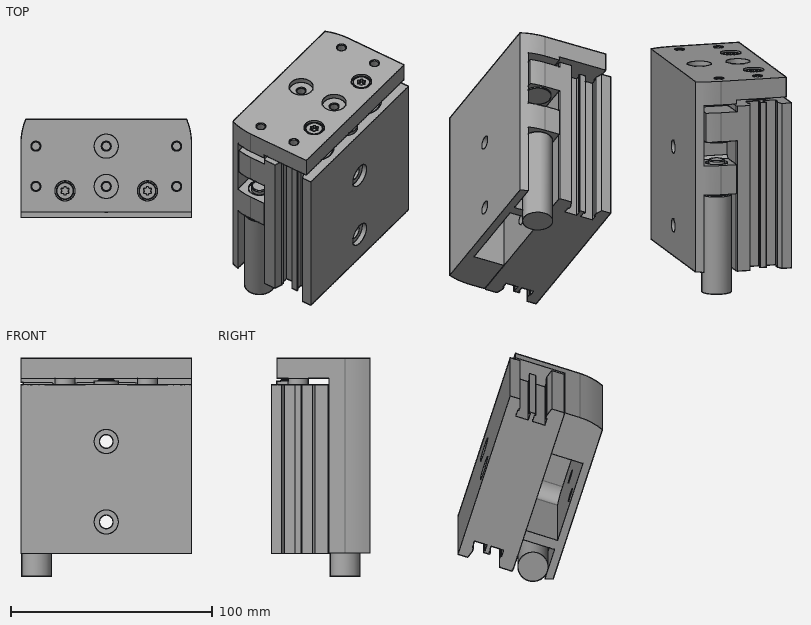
import cadquery as cq
import math


width = 85.0
half_width = width / 2
depth = 49.0
housing_height = 84.0
housing_depth = 28.5

corner_start_y = 36.5
corner_inset = 2.5
corner_run = depth - corner_start_y
corner_radius = (corner_run**2 + corner_inset**2) / (2 * corner_inset)

back_edge_chamfer_x = 0.4
back_edge_chamfer_y = 0.9
recess_front_y = 5.1
recess_back_y = 21.7
recess_taper = 1.3
recess_depth = 3.7
rib_front_y = 11.7
rib_back_y = 15.1
rib_inset = 4.8
rib_chamfer = 0.4
slot_lip_depth = 5.7
slot_floor_depth = 9.0
slot_undercut = 0.6
mount_hole_heights = (15.8, 55.8)
mount_hole_diameter = 6.65
sleeve_bore_diameter = 12.0
sleeve_bore_depth = 2.6
lug_bottom_z = 66.4
lug_top_z = 81.2
lug_back_y = 44.1
lug_inner_x = -27.0
pad_diameter = 13.5
pad_height = 0.8

plate_thickness = 10.0
plate_gap = 3.2
plate_bottom_z = housing_height + plate_gap
plate_top_z = plate_bottom_z + plate_thickness
plate_front_y = 2.7
slide_bottom_z = 0.3
back_wall_inner_y = 45.0
pocket_top_z = 85.2
side_pocket_x = -25.5
pocket_corner_chamfer = 1.6
center_pocket_half_width = 20.6
center_pocket_radius = 8.0
stop_lug_bottom_z = 39.5
stop_lug_top_z = 54.3
plate_hole_rows_y = (15.5, 35.5)
plate_hole_spacing = 35.0
thread_core_diameter = 4.13
thread_mouth_diameter = 5.0
thread_depth = 8.0

rod_x = 20.5
rod_y = 13.3
rod_diameter = 10.0
rod_hole_diameter = 10.1
rod_recess_diameter = 20.0
rod_recess_depth = 1.0
rod_recess_chamfer = 0.8
rod_bottom_z = 70.0
rod_top_z = plate_top_z - 0.6
rod_tip_diameter = 8.57
rod_tip_height = 0.6
rod_tip_chamfer = 0.25
star_core_diameter = 3.3
star_lobe_count = 6
star_lobe_diameter = 1.0
star_tip_diameter = 4.4
star_depth = 2.0

absorber_x = -34.6
absorber_y = 36.6
absorber_bottom_z = -11.3
absorber_body_diameter = 15.0
absorber_body_top_z = 38.7
absorber_body_chamfer = 0.5
absorber_thread_diameter = 10.92
absorber_thread_sink = 1.0
absorber_tip_diameter = 8.0
absorber_tip_height = 1.6
absorber_tip_chamfer = 0.5

stop_y = 8.6
stop_flange_diameter = 12.0
stop_flange_height = 1.75
stop_button_diameter = 8.0
stop_button_height = 0.8
stop_button_chamfer = 0.35
stop_shank_diameter = 5.6
stop_shank_length = 10.0


def box(x_range, y_range, z_range):
    (x0, x1), (y0, y1), (z0, z1) = x_range, y_range, z_range
    return cq.Workplane("XY").box(x1 - x0, y1 - y0, z1 - z0, centered=False).translate((x0, y0, z0))


def upright_cylinder(diameter, x, y, bottom_z, top_z):
    return cq.Workplane("XY", origin=(x, y, bottom_z)).circle(diameter / 2).extrude(top_z - bottom_z)


def corner_x(y):
    """Half width of the rounded outline at a given Y behind the start of the corner arc."""
    return half_width - corner_radius + math.sqrt(corner_radius**2 - (y - corner_start_y) ** 2)


def rounded_block(front_y, back_y, bottom_z, top_z):
    """Full-width block whose two back corners follow the shared arcs."""
    middle_y = (corner_start_y + back_y) / 2
    return (
        cq.Workplane("XY", origin=(0, 0, bottom_z))
        .moveTo(-half_width, front_y)
        .lineTo(half_width, front_y)
        .lineTo(half_width, corner_start_y)
        .threePointArc((corner_x(middle_y), middle_y), (corner_x(back_y), back_y))
        .lineTo(-corner_x(back_y), back_y)
        .threePointArc((-corner_x(middle_y), middle_y), (-half_width, corner_start_y))
        .close()
        .extrude(top_z - bottom_z)
    )


def front_bores(diameter, from_y, length):
    """Bores along +Y on the mounting-hole axes."""
    points = [(0, z) for z in mount_hole_heights]
    return (
        cq.Workplane("XZ", origin=(0, from_y, 0))
        .pushPoints(points)
        .circle(diameter / 2)
        .extrude(-length)
    )


def sensor_recess():
    """Tapered recess on the -X side, with an undercut sensor slot on each side of a central rib."""
    side_x = -half_width
    mouth_x = side_x + recess_depth
    rib_x = side_x + rib_inset
    lip_x = side_x + slot_lip_depth
    floor_x = side_x + slot_floor_depth
    front_y = recess_front_y + recess_taper
    back_y = recess_back_y - recess_taper
    funnel = [(side_x, recess_front_y), (mouth_x, front_y), (mouth_x, back_y), (side_x, recess_back_y)]
    recess = cq.Workplane("XY").polyline(funnel).close().extrude(housing_height)
    z_range = (0, housing_height)
    for slot_front_y, slot_back_y in ((front_y, rib_front_y), (rib_back_y, back_y)):
        recess = recess.union(box((mouth_x, lip_x), (slot_front_y, slot_back_y), z_range))
        undercut_range = (slot_front_y - slot_undercut, slot_back_y + slot_undercut)
        recess = recess.union(box((lip_x, floor_x), undercut_range, z_range))
    recess = recess.union(box((mouth_x, rib_x), (rib_front_y, rib_back_y), z_range))
    rib_corner = [
        (rib_x, rib_back_y - rib_chamfer),
        (rib_x, rib_back_y),
        (rib_x + rib_chamfer, rib_back_y),
    ]
    return recess.union(cq.Workplane("XY").polyline(rib_corner).close().extrude(housing_height))


def housing_lug():
    outline = rounded_block(housing_depth - back_edge_chamfer_y, lug_back_y, lug_bottom_z, lug_top_z)
    side = box((-half_width, lug_inner_x), (0, depth), (lug_bottom_z, lug_top_z))
    pad = upright_cylinder(pad_diameter, absorber_x, absorber_y, lug_bottom_z - pad_height, lug_bottom_z)
    return outline.intersect(side).union(pad)


def make_housing():
    body = box((-half_width, half_width), (0, housing_depth), (0, housing_height))
    body = body.edges("|Z and >Y").chamfer(back_edge_chamfer_x, back_edge_chamfer_y)
    body = body.union(housing_lug())
    recess = sensor_recess()
    body = body.cut(recess).cut(recess.mirror("YZ"))
    body = body.cut(front_bores(mount_hole_diameter, 0, housing_depth))
    body = body.cut(front_bores(sleeve_bore_diameter, 0, sleeve_bore_depth))
    for x in (-rod_x, rod_x):
        recess_floor_z = housing_height - rod_recess_depth
        recess = upright_cylinder(rod_recess_diameter, x, rod_y, recess_floor_z, housing_height)
        body = body.cut(recess.faces("<Z").chamfer(rod_recess_chamfer))
        body = body.cut(upright_cylinder(rod_diameter, x, rod_y, rod_bottom_z, housing_height))
    shank_bottom_z = housing_height - stop_shank_length
    return body.cut(upright_cylinder(stop_shank_diameter, 0, stop_y, shank_bottom_z, housing_height))


def side_pocket(bottom_z, top_z, chamfered_edges):
    """Pocket open to -X and to the front, with chamfers where its end wall meets a ledge."""
    pocket = box((-half_width, side_pocket_x), (housing_depth, back_wall_inner_y), (bottom_z, top_z))
    return pocket.edges(chamfered_edges).chamfer(pocket_corner_chamfer)


def center_pocket():
    pocket = box(
        (-center_pocket_half_width, center_pocket_half_width),
        (housing_depth, back_wall_inner_y),
        (slide_bottom_z, pocket_top_z),
    )
    return pocket.edges("|Y and >Z").fillet(center_pocket_radius)


def threaded_hole(x, y, mouth_z):
    mouth_depth = (thread_mouth_diameter - thread_core_diameter) / 2
    core = upright_cylinder(thread_core_diameter, x, y, plate_top_z - thread_depth, mouth_z)
    mouth_circle = cq.Workplane("XY", origin=(x, y, mouth_z)).circle(thread_mouth_diameter / 2)
    return core.union(mouth_circle.extrude(-mouth_depth, taper=45))


def make_slide():
    body = rounded_block(plate_front_y, depth, slide_bottom_z, plate_top_z)
    body = body.cut(box((-half_width, half_width), (0, housing_depth), (0, plate_bottom_z)))
    body = body.cut(side_pocket(stop_lug_top_z, pocket_top_z, "|Y and >X"))
    body = body.cut(side_pocket(slide_bottom_z, stop_lug_bottom_z, "|Y and >X and >Z"))
    body = body.cut(center_pocket())
    body = body.cut(front_bores(mount_hole_diameter, back_wall_inner_y, depth - back_wall_inner_y))
    for y in plate_hole_rows_y:
        for x in (-plate_hole_spacing, plate_hole_spacing):
            body = body.cut(threaded_hole(x, y, plate_top_z))
        sleeve_floor_z = plate_top_z - sleeve_bore_depth
        body = body.cut(upright_cylinder(sleeve_bore_diameter, 0, y, sleeve_floor_z, plate_top_z))
        body = body.cut(threaded_hole(0, y, sleeve_floor_z))
    for x in (-rod_x, rod_x):
        body = body.cut(upright_cylinder(rod_hole_diameter, x, rod_y, plate_bottom_z, plate_top_z))
    return body.cut(
        upright_cylinder(absorber_thread_diameter, absorber_x, absorber_y, stop_lug_bottom_z, stop_lug_top_z)
    )


def star_socket(x):
    """Six-lobed drive socket in the rod end, with one lobe pointing along +Y."""
    bottom_z = rod_top_z - star_depth
    socket = upright_cylinder(star_core_diameter, x, rod_y, bottom_z, rod_top_z)
    lobe_radius = (star_tip_diameter - star_lobe_diameter) / 2
    for i in range(star_lobe_count):
        angle = math.pi / 2 + 2 * math.pi * i / star_lobe_count
        lobe_x = x + lobe_radius * math.cos(angle)
        lobe_y = rod_y + lobe_radius * math.sin(angle)
        socket = socket.union(upright_cylinder(star_lobe_diameter, lobe_x, lobe_y, bottom_z, rod_top_z))
    return socket


def make_rod(x):
    shoulder_z = rod_top_z - rod_tip_height
    rod = upright_cylinder(rod_diameter, x, rod_y, rod_bottom_z, shoulder_z)
    tip = upright_cylinder(rod_tip_diameter, x, rod_y, shoulder_z, rod_top_z)
    tip = tip.faces(">Z").chamfer(rod_tip_chamfer)
    return rod.union(tip).cut(star_socket(x))


def make_absorber():
    def section(diameter, bottom_z, top_z):
        return upright_cylinder(diameter, absorber_x, absorber_y, bottom_z, top_z)

    body = section(absorber_body_diameter, absorber_bottom_z, absorber_body_top_z)
    body = body.faces(">Z").chamfer(absorber_body_chamfer)
    thread_top_z = stop_lug_top_z - absorber_thread_sink
    thread = section(absorber_thread_diameter, absorber_body_top_z, thread_top_z)
    tip = section(absorber_tip_diameter, thread_top_z, stop_lug_top_z + absorber_tip_height)
    tip = tip.faces(">Z").chamfer(absorber_tip_chamfer)
    return body.union(thread).union(tip)


def make_stop_screw():
    flange_top_z = housing_height + stop_flange_height
    shank_bottom_z = housing_height - stop_shank_length
    shank = upright_cylinder(stop_shank_diameter, 0, stop_y, shank_bottom_z, housing_height)
    flange = upright_cylinder(stop_flange_diameter, 0, stop_y, housing_height, flange_top_z)
    button_top_z = flange_top_z + stop_button_height
    button = upright_cylinder(stop_button_diameter, 0, stop_y, flange_top_z, button_top_z)
    button = button.faces(">Z").chamfer(stop_button_chamfer)
    return shank.union(flange).union(button)


housing = make_housing()
slide = make_slide()
rods = [make_rod(x) for x in (-rod_x, rod_x)]
absorber = make_absorber()
stop_screw = make_stop_screw()

result = cq.Compound.makeCompound([
    housing.solids().val(),
    slide.solids().val(),
    *[rod.solids().val() for rod in rods],
    absorber.solids().val(),
    stop_screw.solids().val(),
])